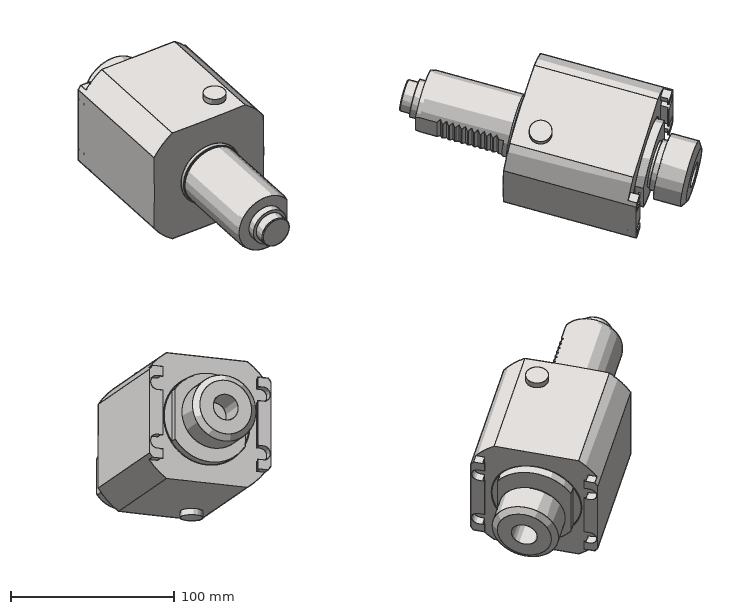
import cadquery as cq


total_length = 185.0
nose_length = 19.8
collar_end_x = 23.9
pad_front_x = 25.2
boss_front_x = 25.5
block_front_x = 30.9
block_rear_x = 110.0
shank_end_x = 173.0
step_end_x = 178.0

block_side = 80.0
half_side = block_side / 2
corner_radius = 48.0
rear_relief = 0.4

nose_radius = 20.9
nose_face_radius = 17.0
nose_chamfer_length = 2.5
bore_radius = 8.1
bore_depth = nose_length
collar_radius = 16.0
neck_radius = 14.8

boss_radius = 28.1
boss_flat_width = 46.2
groove_width = 0.4
groove_depth = 1.0

pad_inner_y = 31.3
pad_height = 58.5
lip_thickness = 1.0
lip_overhang = 1.3
slot_offset_z = 18.7
slot_radius = 4.5
slot_end_y = 39.4

ring_length = 2.5
ring_edge_radius = 20.3
ring_crest_radius = 21.0
shank_radius = 20.0
shank_lead_length = 1.1
shank_lead_drop = 0.4
shank_tip_length = 3.0
shank_tip_drop = 0.7
step_radius = 12.0
tail_radius = 10.0
tail_chamfer = 0.5

flat_start_x = 116.7
flat_offset_y = 15.9
tooth_count = 10
first_tooth_x = 121.5
last_tooth_x = 157.5
tooth_pitch = (last_tooth_x - first_tooth_x) / (tooth_count - 1)
tooth_depth = 1.7

plug_radius = 7.0
plug_x = 93.4
plug_offset_y = 15.0
overall_height = 88.0


def revolve_about_x(outline):
    """Close an (x, radius) outline and turn it a full round about the X axis."""
    return outline.close().revolve(360, (0, 0, 0), (1, 0, 0))


def box_between(x_range, y_range, z_range):
    """Box spanning the given (low, high) ranges."""
    lows, highs = zip(x_range, y_range, z_range)
    size = [high - low for low, high in zip(lows, highs)]
    return cq.Workplane("XY").box(*size, centered=False).translate(lows)


def disc_along_x(start_x, end_x, radius):
    """Cylinder on the X axis."""
    return cq.Workplane("YZ").workplane(offset=start_x).circle(radius).extrude(end_x - start_x)


def make_block():
    """Square housing, including the pad layer, with round corners and a relieved rear edge."""
    envelope = revolve_about_x(
        cq.Workplane("XY")
        .moveTo(pad_front_x, 0)
        .lineTo(pad_front_x, corner_radius)
        .lineTo(block_rear_x - rear_relief, corner_radius)
        .lineTo(block_rear_x, half_side)
        .lineTo(block_rear_x, 0)
    )
    sides = (-half_side, half_side)
    return envelope.intersect(box_between((pad_front_x, block_rear_x), sides, sides))


def make_pad_clearance():
    """Material removed from the pad layer: all but two slotted pads with an overhanging lip."""
    layer = (pad_front_x, block_front_x)
    sides = (-half_side, half_side)
    pad_half_height = pad_height / 2
    undercut_y = pad_inner_y + lip_overhang
    undercut_layer = (pad_front_x + lip_thickness, block_front_x)

    clearance = box_between(layer, (-pad_inner_y, pad_inner_y), sides)
    clearance = clearance.union(box_between(undercut_layer, (-undercut_y, undercut_y), sides))
    clearance = clearance.union(box_between(layer, sides, (pad_half_height, half_side)))
    clearance = clearance.union(box_between(layer, sides, (-half_side, -pad_half_height)))

    slots = (
        cq.Workplane("YZ")
        .workplane(offset=pad_front_x)
        .pushPoints([(0, -slot_offset_z), (0, slot_offset_z)])
        .slot2D(2 * slot_end_y, 2 * slot_radius)
        .extrude(block_front_x - pad_front_x)
    )
    return clearance.union(slots)


def make_boss_groove():
    """Clearance groove around the front boss."""
    groove_floor_x = block_front_x + groove_depth
    outer = disc_along_x(block_front_x, groove_floor_x, boss_radius + groove_width)
    return outer.cut(disc_along_x(block_front_x, groove_floor_x, boss_radius))


def make_boss():
    """Round front boss with flats facing -Y and +Y."""
    half_flat = boss_flat_width / 2
    boss = disc_along_x(boss_front_x, block_front_x, boss_radius)
    return boss.intersect(
        box_between(
            (boss_front_x, block_front_x),
            (-half_flat, half_flat),
            (-boss_radius, boss_radius),
        )
    )


def make_spindle():
    """Spindle nose with its necks and the blind tool bore."""
    spindle = revolve_about_x(
        cq.Workplane("XY")
        .lineTo(0, nose_face_radius)
        .lineTo(nose_chamfer_length, nose_radius)
        .lineTo(nose_length, nose_radius)
        .lineTo(nose_length, collar_radius)
        .lineTo(collar_end_x, collar_radius)
        .lineTo(collar_end_x, neck_radius)
        .lineTo(block_front_x, neck_radius)
        .lineTo(block_front_x, 0)
    )
    return spindle.cut(disc_along_x(0, bore_depth, bore_radius))


def make_shank():
    """Sealing ring, shank and stepped drive end, before the flat is cut."""
    ring_end_x = block_rear_x + ring_length
    lead_radius = shank_radius - shank_lead_drop
    return revolve_about_x(
        cq.Workplane("XY")
        .moveTo(block_rear_x, 0)
        .lineTo(block_rear_x, ring_edge_radius)
        .threePointArc(
            (block_rear_x + ring_length / 2, ring_crest_radius),
            (ring_end_x, ring_edge_radius),
        )
        .lineTo(ring_end_x, lead_radius)
        .lineTo(ring_end_x + shank_lead_length, shank_radius)
        .lineTo(shank_end_x - shank_tip_length, shank_radius)
        .lineTo(shank_end_x, shank_radius - shank_tip_drop)
        .lineTo(shank_end_x, step_radius)
        .lineTo(step_end_x, step_radius)
        .lineTo(step_end_x, tail_radius)
        .lineTo(total_length - tail_chamfer, tail_radius)
        .lineTo(total_length, tail_radius - tail_chamfer)
        .lineTo(total_length, 0)
    )


def make_serrated_flat():
    """Material removed for the shank flat and its row of 90 degree V grooves."""
    outline = cq.Workplane("XY").workplane(offset=-shank_radius).moveTo(flat_start_x, flat_offset_y)
    for index in range(tooth_count):
        valley_x = first_tooth_x + index * tooth_pitch
        outline = (
            outline.lineTo(valley_x - tooth_depth, flat_offset_y)
            .lineTo(valley_x, flat_offset_y - tooth_depth)
            .lineTo(valley_x + tooth_depth, flat_offset_y)
        )
    return (
        outline.lineTo(shank_end_x, flat_offset_y)
        .lineTo(shank_end_x, shank_radius)
        .lineTo(flat_start_x, shank_radius)
        .close()
        .extrude(2 * shank_radius)
    )


def make_plug(direction):
    """Plug standing on the top (direction 1) or bottom (direction -1) face."""
    plug_height = (overall_height - block_side) / 2
    return (
        cq.Workplane("XY")
        .workplane(offset=direction * half_side)
        .center(plug_x, direction * plug_offset_y)
        .circle(plug_radius)
        .extrude(direction * plug_height)
    )


housing = make_block().cut(make_pad_clearance()).cut(make_boss_groove())
shank = make_shank().cut(make_serrated_flat())

result = housing.union(make_boss()).union(make_spindle()).union(shank)
for side in (1, -1):
    result = result.union(make_plug(side))